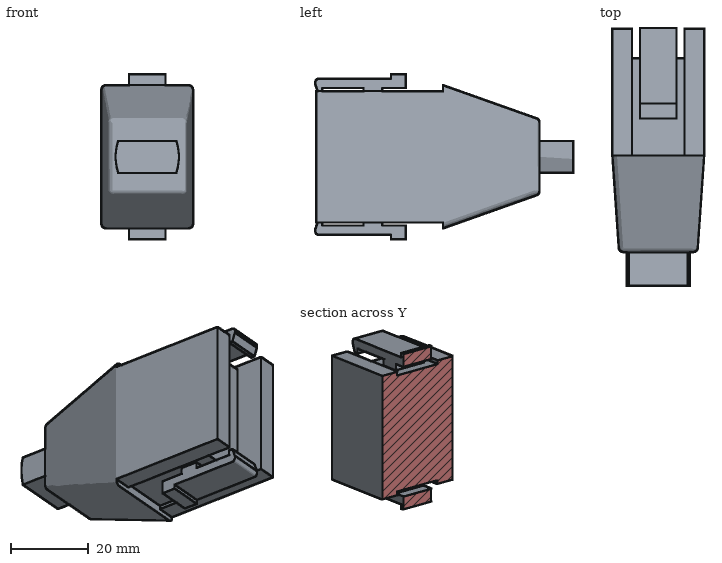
import cadquery as cq

width = 23.65
housing_length = 32.6
housing_height = 33.8
channel_width = 13.4
channel_depth = 1.0
rear_slot_length = 7.6

hood_length = 24.85
hood_height = 36.85
hood_front_width = 20.2
hood_front_height = 19.2
hood_radius = 1.3

nose_length = 8.6
nose_width = 16.25
nose_flat_width = 15.0
nose_height = 8.2

latch_width = 9.4
latch_back = 32.8
latch_head_front = 9.55
latch_head_back = 13.4
total_height = 42.5
latch_top = total_height / 2
bar_top = 20.1
bar_bottom = 17.6
post_front = 15.6
post_back = 20.4
hook_bottom = 16.25
hook_front = 30.95
hook_foot_back = 32.0
hook_slope_top = 18.55
hook_radius = 0.9

floor_level = housing_height / 2 - channel_depth


def make_housing():
    """Block with a shallow channel on both faces and a slot through its rear."""
    housing = cq.Workplane("XY").box(
        width, housing_length, housing_height, centered=(True, False, True)
    )
    core = cq.Workplane("XY").box(
        channel_width, housing_length, 2 * floor_level, centered=(True, False, True)
    )
    channel = cq.Workplane("XY").box(
        channel_width, housing_length, housing_height, centered=(True, False, True)
    )
    slot = (
        cq.Workplane("XY")
        .box(channel_width, rear_slot_length, housing_height, centered=(True, False, True))
        .translate((0, housing_length - rear_slot_length, 0))
    )
    return housing.cut(channel.cut(core)).cut(slot)


def make_hood():
    """Four-sided taper, rounded everywhere except around its rear face."""
    return (
        cq.Workplane("XZ")
        .rect(width, hood_height)
        .workplane(offset=hood_length)
        .rect(hood_front_width, hood_front_height)
        .loft(ruled=True)
        .edges("not >Y")
        .fillet(hood_radius)
    )


def make_nose():
    flat_x = nose_flat_width / 2
    side_x = nose_width / 2
    top_z = nose_height / 2
    return (
        cq.Workplane("XZ", origin=(0, -hood_length, 0))
        .moveTo(-flat_x, top_z)
        .lineTo(flat_x, top_z)
        .threePointArc((side_x, 0), (flat_x, -top_z))
        .lineTo(-flat_x, -top_z)
        .threePointArc((-side_x, 0), (-flat_x, top_z))
        .close()
        .extrude(nose_length)
    )


def make_latch():
    """Upper latch: a bar on a post, with a raised head in front and a hook behind."""
    profile = [
        (latch_head_front, latch_top),
        (latch_head_back, latch_top),
        (latch_head_back, bar_top),
        (latch_back, bar_top),
        (latch_back, hook_slope_top),
        (hook_foot_back, hook_bottom),
        (hook_front, hook_bottom),
        (hook_front, bar_bottom),
        (post_back, bar_bottom),
        (post_back, floor_level),
        (post_front, floor_level),
        (post_front, bar_bottom),
        (latch_head_front, bar_bottom),
    ]
    return (
        cq.Workplane("YZ")
        .polyline(profile)
        .close()
        .extrude(latch_width / 2, both=True)
        .edges("|X and >Y")
        .edges(">Z")
        .fillet(hook_radius)
    )


upper_latch = make_latch()
lower_latch = upper_latch.mirror("XY")
result = make_housing().union(make_hood()).union(make_nose()).union(upper_latch).union(lower_latch)